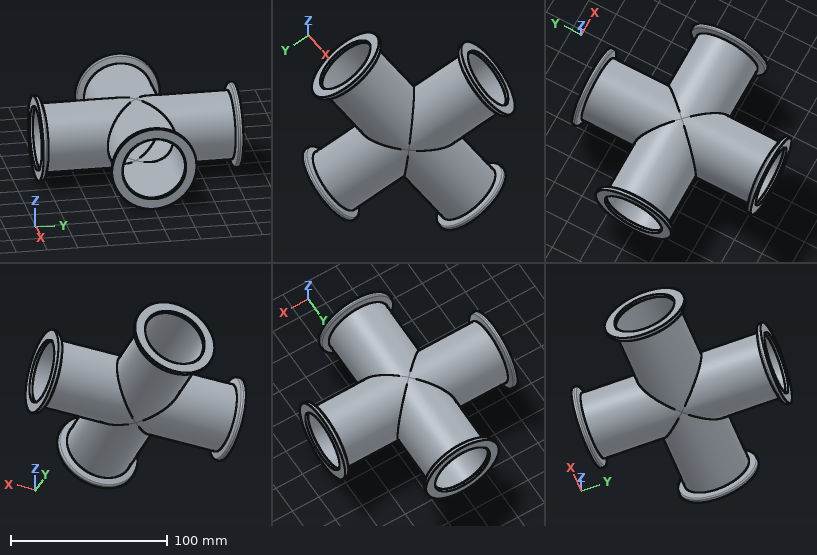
import cadquery as cq
import math

overall_length = 130.0
flange_diameter = 55.0
tube_diameter = 44.6
bore_diameter = 40.5
recess_diameter = 41.2
recess_depth = 2.0
rim_width = 2.0
rim_fillet = 1.2
taper_angle = math.radians(15)
branch_angles = (0, 90, 180, 270)

half_length = overall_length / 2
flange_radius = flange_diameter / 2
tube_radius = tube_diameter / 2

fillet_radial_center = flange_radius - rim_fillet
fillet_axial_center = half_length - rim_width
fillet_mid_angle = (math.pi / 2 - taper_angle) / 2


def fillet_point(angle):
    """Point on the rim fillet as (axial, radial), angle measured from the rim."""
    return (
        fillet_axial_center - rim_fillet * math.sin(angle),
        fillet_radial_center + rim_fillet * math.cos(angle),
    )


taper_start = fillet_point(math.pi / 2 - taper_angle)
taper_length = (taper_start[1] - tube_radius) * math.tan(taper_angle)
taper_end = (taper_start[0] - taper_length, tube_radius)


def make_flange():
    """Solid flange at the +X end."""
    profile = (
        cq.Workplane("XY")
        .moveTo(half_length, 0)
        .lineTo(half_length, flange_radius)
        .lineTo(fillet_axial_center, flange_radius)
        .threePointArc(fillet_point(fillet_mid_angle), taper_start)
        .lineTo(*taper_end)
        .lineTo(taper_end[0], 0)
        .close()
    )
    return profile.revolve(360, (0, 0, 0), (1, 0, 0))


def make_cross(diameter):
    """Two full-length cylinders crossing at the origin along X and Y."""
    along_x = cq.Workplane("YZ").circle(diameter / 2).extrude(half_length, both=True)
    return along_x.union(along_x.rotate((0, 0, 0), (0, 0, 1), 90))


def make_recess():
    """Shallow counterbore cutter at the +X end."""
    return (
        cq.Workplane("YZ", origin=(half_length - recess_depth, 0, 0))
        .circle(recess_diameter / 2)
        .extrude(recess_depth)
    )


flange = make_flange()
recess = make_recess()

result = make_cross(tube_diameter)
for angle in branch_angles:
    result = result.union(flange.rotate((0, 0, 0), (0, 0, 1), angle))

result = result.cut(make_cross(bore_diameter))
for angle in branch_angles:
    result = result.cut(recess.rotate((0, 0, 0), (0, 0, 1), angle))